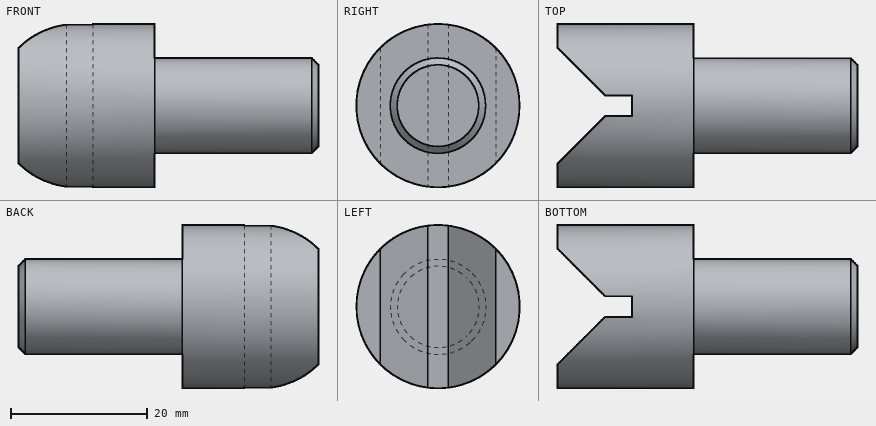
import cadquery as cq

total_length = 44.0
head_diameter = 24.0
head_length = 19.98
shank_diameter = 14.0
shank_chamfer = 1.0

slot_width = 3.0
slot_bottom = 10.9
vee_depth = 7.0


def make_head():
    return cq.Workplane("YZ").circle(head_diameter / 2).extrude(head_length)


def make_shank():
    shank = (
        cq.Workplane("YZ", origin=(head_length, 0, 0))
        .circle(shank_diameter / 2)
        .extrude(total_length - head_length)
    )
    return shank.faces(">X").chamfer(shank_chamfer)


def make_notch():
    """V and slot in one outline, cut through the full height of the head."""
    slot_half = slot_width / 2
    mouth_half = slot_half + vee_depth
    return (
        cq.Workplane("XY")
        .moveTo(0, mouth_half)
        .lineTo(vee_depth, slot_half)
        .lineTo(slot_bottom, slot_half)
        .lineTo(slot_bottom, -slot_half)
        .lineTo(vee_depth, -slot_half)
        .lineTo(0, -mouth_half)
        .close()
        .extrude(head_diameter / 2, both=True)
    )


result = make_head().union(make_shank()).cut(make_notch())